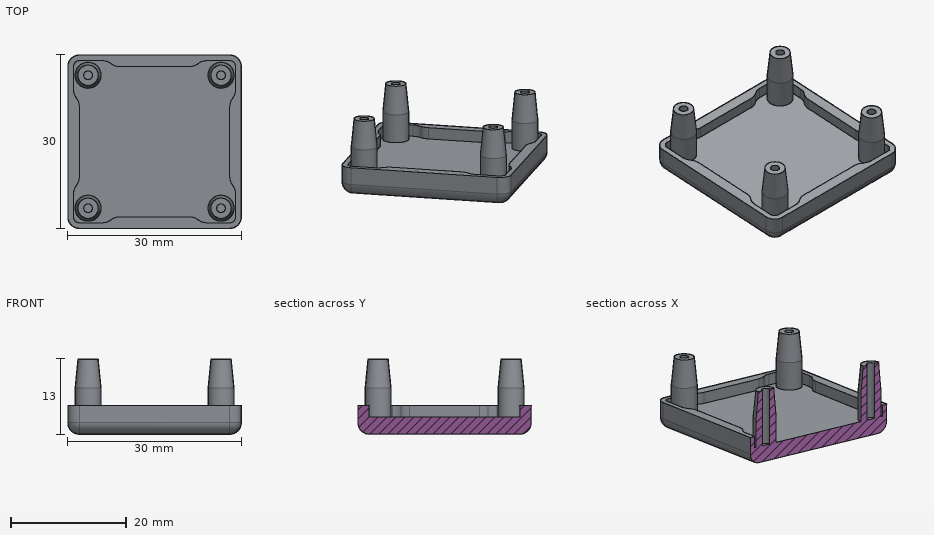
import cadquery as cq
import math

side = 30.0
tray_height = 5.0
floor_thickness = 3.0
outer_radius = 2.0

corner_wall = 1.0
middle_wall = 2.0
transition_start = 5.97
transition_length = 3.0

total_height = 13.0
post_inset = 3.5
post_diameter = 4.5
post_tip_diameter = 3.5
taper_height = 5.0
hole_diameter = 1.5

half_side = side / 2
cavity_height = tray_height - floor_thickness


def make_tray():
    """Rounded square block with a rounded bottom edge."""
    block = cq.Workplane("XY").rect(side, side).extrude(tray_height)
    return block.edges("|Z").fillet(outer_radius).faces("<Z").edges().fillet(outer_radius)


def make_cavity():
    """Square pocket with S-curved wall transitions, built one quarter turn at a time."""
    wide = half_side - corner_wall
    narrow = half_side - middle_wall
    corner_radius = outer_radius - corner_wall
    straight_end = wide - corner_radius
    curve_outer = half_side - transition_start
    curve_inner = curve_outer - transition_length
    curve_middle = ((curve_inner + curve_outer) / 2, (narrow + wide) / 2)
    corner_middle = straight_end + corner_radius * math.sqrt(0.5)

    def turned(point, quarter):
        x, y = point
        for _ in range(quarter):
            x, y = -y, x
        return x, y

    outline = cq.Workplane("XY").workplane(offset=floor_thickness).moveTo(narrow, -curve_inner)
    for quarter in range(4):
        outline = (
            outline.lineTo(*turned((narrow, curve_inner), quarter))
            .tangentArcPoint(turned(curve_middle[::-1], quarter), relative=False)
            .tangentArcPoint(turned((wide, curve_outer), quarter), relative=False)
            .lineTo(*turned((wide, straight_end), quarter))
            .threePointArc(
                turned((corner_middle, corner_middle), quarter),
                turned((straight_end, wide), quarter),
            )
            .lineTo(*turned((curve_outer, wide), quarter))
            .tangentArcPoint(turned(curve_middle, quarter), relative=False)
            .tangentArcPoint(turned((curve_inner, narrow), quarter), relative=False)
        )
    return outline.close().extrude(cavity_height)


def make_post():
    """Straight post with a tapered tip and a blind hole down to the tray floor."""
    tip_radius = post_tip_diameter / 2
    post_radius = post_diameter / 2
    hole_radius = hole_diameter / 2
    profile = [
        (hole_radius, floor_thickness),
        (post_radius, floor_thickness),
        (post_radius, total_height - taper_height),
        (tip_radius, total_height),
        (hole_radius, total_height),
    ]
    return cq.Workplane("XZ").polyline(profile).close().revolve(360, (0, 0), (0, 1))


result = make_tray().cut(make_cavity())
post_offset = half_side - post_inset
for x_sign in (-1, 1):
    for y_sign in (-1, 1):
        result = result.union(make_post().translate((x_sign * post_offset, y_sign * post_offset, 0)))